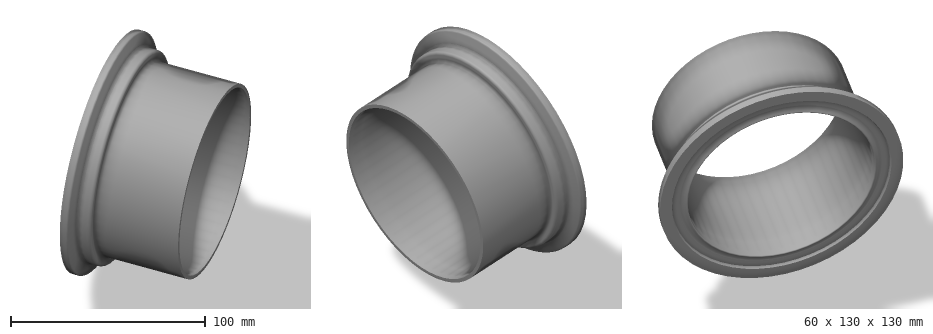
import cadquery as cq
import math

length = 60.0
rim_radius = 65.0
collar_radius = 57.52
tube_radius = 52.0
bore_radius = 49.98

rim_width = 4.0
rim_round = 1.0
back_slope = math.radians(20)
collar_end = 14.0
collar_round = 1.5

recess_depth = 1.4
recess_radius = 58.6
recess_floor_radius = 58.0
seat_outer_radius = 54.2
seat_arc_radius = 3.6
seat_entry_angle = math.radians(10)
seat_exit_angle = math.radians(35)
lip_outer_radius = 50.76


def ring(outline):
    """Revolve an (x, radius) outline about the X axis."""
    return outline.close().revolve(360, (0, 0, 0), (1, 0, 0))


def ferrule_body():
    """Tapered flange, collar and tube, with the outer corners rounded."""
    cone_end = rim_width + (rim_radius - collar_radius) * math.tan(back_slope)
    body = ring(
        cq.Workplane("XY")
        .moveTo(0, 0)
        .lineTo(0, rim_radius)
        .lineTo(rim_width, rim_radius)
        .lineTo(cone_end, collar_radius)
        .lineTo(collar_end, collar_radius)
        .lineTo(collar_end, tube_radius)
        .lineTo(length, tube_radius)
        .lineTo(length, 0)
    )
    corners = (
        (rim_width, rim_radius, rim_round),
        (cone_end, collar_radius, collar_round),
        (collar_end, collar_radius, collar_round),
        (collar_end, tube_radius, collar_round),
    )
    tolerance = 0.01
    for x, radius, rounding in corners:
        nearby = cq.selectors.BoxSelector(
            (x - tolerance, -rim_radius - 1.3, -rim_radius - 1.3),
            (x + tolerance, rim_radius + 1.3, rim_radius + 1.3),
            boundingbox=True,
        )
        circles = body.edges(nearby).edges("%CIRCLE")
        body = circles.filter(lambda e: abs(e.radius() - radius) < tolerance).fillet(rounding)
    return body


def inner_cut():
    """Bore, rounded lip, concave gasket seat and tapered recess as one cutter."""
    center_x = recess_depth - seat_arc_radius * math.cos(seat_entry_angle)
    center_r = seat_outer_radius - seat_arc_radius * math.sin(seat_entry_angle)

    def seat_point(angle):
        return (
            center_x + seat_arc_radius * math.cos(angle),
            center_r - seat_arc_radius * math.sin(angle),
        )

    seat_end = seat_point(seat_exit_angle)
    lip_start_x = seat_end[0] - (seat_end[1] - lip_outer_radius) * math.tan(seat_exit_angle)

    lip_round = (lip_outer_radius - bore_radius) / (1 + math.sin(seat_exit_angle))
    lip_center_x = lip_start_x + lip_round * math.cos(seat_exit_angle)
    lip_center_r = bore_radius + lip_round

    return ring(
        cq.Workplane("XY")
        .moveTo(0, 0)
        .lineTo(length, 0)
        .lineTo(length, bore_radius)
        .lineTo(lip_center_x, bore_radius)
        .threePointArc(
            (lip_center_x - lip_round, lip_center_r),
            (lip_start_x, lip_outer_radius),
        )
        .lineTo(*seat_end)
        .threePointArc(seat_point(0), (recess_depth, seat_outer_radius))
        .lineTo(recess_depth, recess_floor_radius)
        .lineTo(0, recess_radius)
    )


result = ferrule_body().cut(inner_cut())